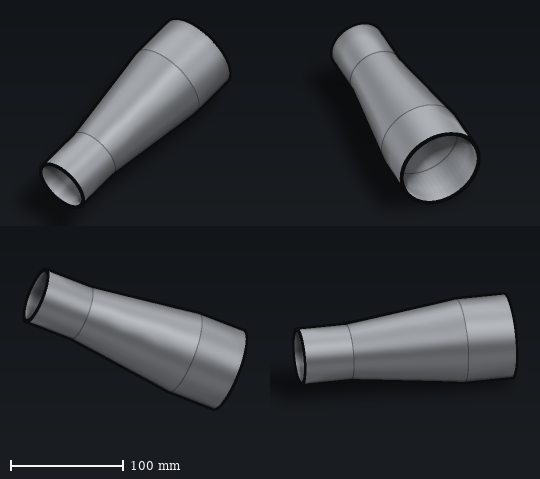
import cadquery as cq

length = 190.5
large_diameter = 76.2
small_diameter = 50.9
wall = 1.7
end_length = 44.4

large_radius = large_diameter / 2
small_radius = small_diameter / 2
front_y = -length / 2
back_y = length / 2
cone_front_y = front_y + end_length
cone_back_y = back_y - end_length


def reducer_body(small_r, large_r):
    """Solid of revolution: small cylinder, cone, large cylinder."""
    return (
        cq.Workplane("XY")
        .moveTo(0, front_y)
        .lineTo(small_r, front_y)
        .lineTo(small_r, cone_front_y)
        .lineTo(large_r, cone_back_y)
        .lineTo(large_r, back_y)
        .lineTo(0, back_y)
        .close()
        .revolve(360, (0, 0, 0), (0, 1, 0))
    )


outside = reducer_body(small_radius, large_radius)
bore = reducer_body(small_radius - wall, large_radius - wall)
result = outside.cut(bore)